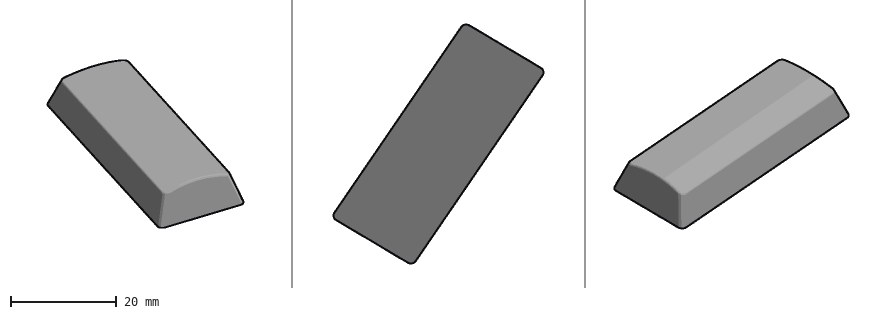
import cadquery as cq

length = 46.9
width = 18.3
height = 7.2

draft_angle = 18.0
crown_radius = 23.45

corner_radius = 1.15
top_fillet = 0.5


def tapered_block():
    """Rectangular block whose four sides lean inward, with rounded corner edges."""
    block = cq.Workplane("XY").rect(length, width).extrude(height, taper=draft_angle)
    sloped_corners = block.edges("not(#Z)")
    return sloped_corners.fillet(corner_radius)


def crown_cylinder():
    """Cylinder along X whose highest line touches the full height of the part."""
    return (
        cq.Workplane("YZ")
        .center(0, height - crown_radius)
        .circle(crown_radius)
        .extrude(length / 2, both=True)
    )


crowned_body = tapered_block().intersect(crown_cylinder())
result = crowned_body.faces(">Z").edges().fillet(top_fillet)